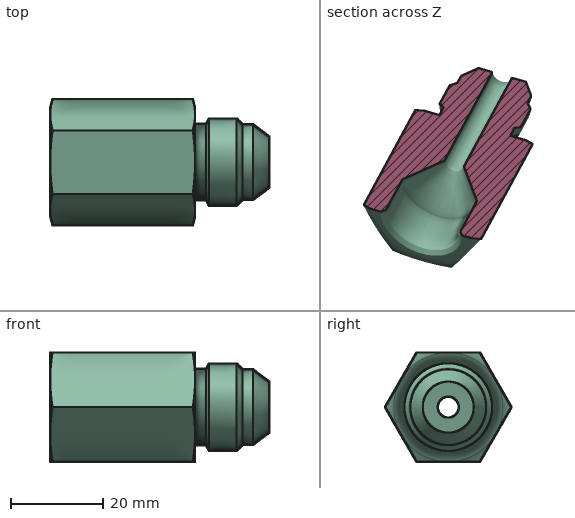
import cadquery as cq
import math

across_flats = 23.83
across_corners = across_flats / math.cos(math.radians(30))
hex_length = 31.5
face_diameter = 23.7
hex_chamfer_angle = 15
corner_clearance = 1.0

total_length = 47.62
neck_diameter = 16.69
neck_end = 33.9
thread_diameter = 19.05
thread_start = 34.5
thread_end = 40.5
nose_diameter = 16.48
nose_start = 41.8
tip_diameter = 11.1
flare_cone_angle = 74
flare_length = (nose_diameter - tip_diameter) / 2 / math.tan(math.radians(flare_cone_angle / 2))
flare_start = total_length - flare_length

mouth_diameter = 19.05
bore_diameter = 17.32
mouth_chamfer_angle = 45
bore_depth = 10.7
bore_cone_angle = 74
passage_diameter = 4.5


def revolve_about_x(profile):
    """Solid of revolution from (x, radius) points, closed along the X axis."""
    start_x = profile[0][0]
    end_x = profile[-1][0]
    outline = [(start_x, 0)] + profile + [(end_x, 0)]
    return cq.Workplane("XY").polyline(outline).close().revolve(360, (0, 0, 0), (1, 0, 0))


def make_hex_body():
    """Hexagon with corners on the Y axis, both ends turned to a shallow chamfer."""
    prism = cq.Workplane("YZ").polygon(6, across_corners).extrude(hex_length)
    face_radius = face_diameter / 2
    clear_radius = across_corners / 2 + corner_clearance
    run = (clear_radius - face_radius) * math.tan(math.radians(hex_chamfer_angle))
    turned_envelope = revolve_about_x([
        (0, face_radius),
        (run, clear_radius),
        (hex_length - run, clear_radius),
        (hex_length, face_radius),
    ])
    return prism.intersect(turned_envelope)


def make_flare_end():
    """Neck, threaded collar, nose and conical tip."""
    return revolve_about_x([
        (hex_length, neck_diameter / 2),
        (neck_end, neck_diameter / 2),
        (thread_start, thread_diameter / 2),
        (thread_end, thread_diameter / 2),
        (nose_start, nose_diameter / 2),
        (flare_start, nose_diameter / 2),
        (total_length, tip_diameter / 2),
    ])


def make_bore():
    """Chamfered mouth, straight bore, conical bottom and through passage."""
    mouth_step = (mouth_diameter - bore_diameter) / 2
    mouth_depth = mouth_step / math.tan(math.radians(mouth_chamfer_angle))
    cone_step = (bore_diameter - passage_diameter) / 2
    cone_depth = cone_step / math.tan(math.radians(bore_cone_angle / 2))
    return revolve_about_x([
        (0, mouth_diameter / 2),
        (mouth_depth, bore_diameter / 2),
        (bore_depth, bore_diameter / 2),
        (bore_depth + cone_depth, passage_diameter / 2),
        (total_length, passage_diameter / 2),
    ])


result = make_hex_body().union(make_flare_end()).cut(make_bore())